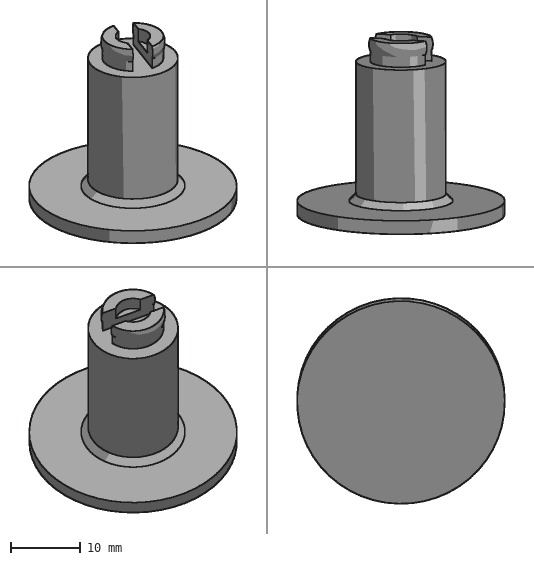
import cadquery as cq

flange_diameter = 30.0
flange_thickness = 2.0

stem_diameter = 13.0
cone_height = 1.0
stem_top = 22.5

total_height = 26.0
tip_diameter = 8.84
rim_height = 2.0
rim_bulge = 0.22
slot_width = 3.0
recess_diameter = 5.0
recess_depth = 2.0

flange_radius = flange_diameter / 2
stem_radius = stem_diameter / 2
tip_radius = tip_diameter / 2
cone_top = flange_thickness + cone_height
rim_bottom = total_height - rim_height
rim_middle = total_height - rim_height / 2
tip_height = total_height - stem_top


def make_turned_body():
    """Revolve the half profile of flange, cone, stem and bulging tip about Z."""
    profile = (
        cq.Workplane("XZ")
        .moveTo(0, 0)
        .lineTo(flange_radius, 0)
        .lineTo(flange_radius, flange_thickness)
        .lineTo(stem_radius + cone_height, flange_thickness)
        .lineTo(stem_radius, cone_top)
        .lineTo(stem_radius, stem_top)
        .lineTo(tip_radius, stem_top)
        .lineTo(tip_radius, rim_bottom)
        .threePointArc((tip_radius + rim_bulge, rim_middle), (tip_radius, total_height))
        .lineTo(0, total_height)
        .close()
    )
    return profile.revolve(360, (0, 0, 0), (0, 1, 0))


def make_slot():
    """Slot along X that splits the tip in two, down to the stem's end face."""
    return (
        cq.Workplane("XY")
        .workplane(offset=stem_top)
        .rect(stem_diameter, slot_width)
        .extrude(tip_height)
    )


def make_recess():
    """Round blind recess in the tip's end face."""
    return (
        cq.Workplane("XY")
        .workplane(offset=total_height - recess_depth)
        .circle(recess_diameter / 2)
        .extrude(recess_depth)
    )


result = make_turned_body().cut(make_slot()).cut(make_recess())